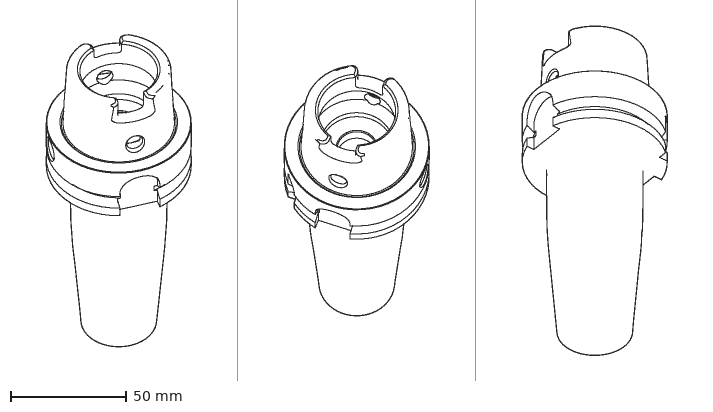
import cadquery as cq
import math

TOTAL_LENGTH = 151.9
TAPER_LENGTH = 31.9
COLLAR_LENGTH = 26.0
COLLAR_FACE_Z = TOTAL_LENGTH - TAPER_LENGTH
COLLAR_BOTTOM_Z = COLLAR_FACE_Z - COLLAR_LENGTH

SHANK_RADIUS = 21.0
SHANK_FILLET = 5.0
NOSE_CONE_HEIGHT = 45.7
NOSE_BLEND_HEIGHT = 23.4
NOSE_CONE_ANGLE = math.radians(4.5)
NOSE_EDGE_FILLET = 0.9

COLLAR_DIAMETER = 63.0
COLLAR_RADIUS = COLLAR_DIAMETER / 2
COLLAR_EDGE_CHAMFER = 0.3
GROOVE_CENTER_Z = COLLAR_FACE_Z - 18.0
GROOVE_WIDTH = 7.0
GROOVE_ROOT_RADIUS = 27.5
GROOVE_FLANK_ANGLE = math.radians(30)

TAPER_TOP_DIAMETER = 45.4
TAPER_TOP_RADIUS = TAPER_TOP_DIAMETER / 2
TAPER_SLOPE = 0.05
TAIL_EDGE = 1.0
LAND_HEIGHT = 2.3
RELIEF_RADIUS = 25.5
RELIEF_DEPTH = 0.6

MOUTH_RADIUS = 16.9
MOUTH_DEPTH = 12.8
CAVITY_RADIUS = 20.0
CAVITY_SHOULDER_ANGLE = math.radians(60)
CAVITY_WALL_END_DEPTH = 25.7
CAVITY_FLOOR_RADIUS = 15.8
CAVITY_DEPTH = 33.4
TUBE_SEAT_RADIUS = 8.5
TUBE_SEAT_CHAMFER = 0.5
TUBE_SEAT_DEPTH = 6.1
CENTER_HOLE_RADIUS = 2.1
CENTER_HOLE_DEPTH = 4.5

NOTCH_HALF_WIDTH = 6.2
NOTCH_CORNER_RADIUS = 3.0
NOTCH_FLOOR_FILLET = 1.7
NOTCH_DEPTH_LEFT = 6.2
NOTCH_DEPTH_RIGHT = 10.0

CROSS_HOLE_RADIUS = 3.6
CROSS_HOLE_CHAMFER = 1.0
CROSS_HOLE_Z = TOTAL_LENGTH - 23.0
CHIP_HOLE_RADIUS = 4.7
CHIP_HOLE_CHAMFER = 0.9
CHIP_HOLE_DEPTH = 4.5
CHIP_HOLE_Z = COLLAR_FACE_Z - 7.0
CHIP_CENTER_RADIUS = 0.6

KEYWAY_ARC_Z = COLLAR_FACE_Z - 12.9
NARROW_KEYWAY_HALF_WIDTH = 8.0
WIDE_KEYWAY_HALF_WIDTH = 9.1
KEYWAY_FLOOR_X = 26.5
INDEX_FLOOR_X = 20.0
INDEX_WALL_Y = 20.0

REACH = 45.5


def taper_radius(z):
    """Outer radius of the taper at height z."""
    return TAPER_TOP_RADIUS + TAPER_SLOPE * (TOTAL_LENGTH - z)


def make_body():
    """Revolve the outer profile from the nose to the tail."""
    blend_top_z = NOSE_CONE_HEIGHT + NOSE_BLEND_HEIGHT
    cone_top_radius = SHANK_RADIUS - NOSE_BLEND_HEIGHT * math.tan(NOSE_CONE_ANGLE / 2)
    nose_radius = cone_top_radius - NOSE_CONE_HEIGHT * math.tan(NOSE_CONE_ANGLE)
    blend_radius = NOSE_BLEND_HEIGHT / math.sin(NOSE_CONE_ANGLE)
    blend_mid = (
        SHANK_RADIUS - blend_radius * (1 - math.cos(NOSE_CONE_ANGLE / 2)),
        blend_top_z - blend_radius * math.sin(NOSE_CONE_ANGLE / 2),
    )
    fillet_sag = SHANK_FILLET * (1 - math.sqrt(0.5))
    groove_half = GROOVE_WIDTH / 2
    root_half = groove_half - (COLLAR_RADIUS - GROOVE_ROOT_RADIUS) * math.tan(GROOVE_FLANK_ANGLE)
    land_z = COLLAR_FACE_Z + LAND_HEIGHT
    land_radius = taper_radius(land_z)
    edge_z = TOTAL_LENGTH - TAIL_EDGE
    edge_sag = TAIL_EDGE * (1 - math.sqrt(0.5))
    profile = (
        cq.Workplane("XZ")
        .lineTo(nose_radius, 0)
        .lineTo(cone_top_radius, NOSE_CONE_HEIGHT)
        .threePointArc(blend_mid, (SHANK_RADIUS, blend_top_z))
        .lineTo(SHANK_RADIUS, COLLAR_BOTTOM_Z - SHANK_FILLET)
        .threePointArc(
            (SHANK_RADIUS + fillet_sag, COLLAR_BOTTOM_Z - fillet_sag),
            (SHANK_RADIUS + SHANK_FILLET, COLLAR_BOTTOM_Z),
        )
        .lineTo(COLLAR_RADIUS, COLLAR_BOTTOM_Z)
        .lineTo(COLLAR_RADIUS, GROOVE_CENTER_Z - groove_half)
        .lineTo(GROOVE_ROOT_RADIUS, GROOVE_CENTER_Z - root_half)
        .lineTo(GROOVE_ROOT_RADIUS, GROOVE_CENTER_Z + root_half)
        .lineTo(COLLAR_RADIUS, GROOVE_CENTER_Z + groove_half)
        .lineTo(COLLAR_RADIUS, COLLAR_FACE_Z - COLLAR_EDGE_CHAMFER)
        .lineTo(COLLAR_RADIUS - COLLAR_EDGE_CHAMFER, COLLAR_FACE_Z)
        .lineTo(RELIEF_RADIUS, COLLAR_FACE_Z)
        .lineTo(RELIEF_RADIUS - RELIEF_DEPTH, COLLAR_FACE_Z - RELIEF_DEPTH)
        .lineTo(land_radius, COLLAR_FACE_Z - RELIEF_DEPTH)
        .lineTo(land_radius, land_z)
        .lineTo(taper_radius(edge_z), edge_z)
        .threePointArc(
            (taper_radius(edge_z) - edge_sag, TOTAL_LENGTH - edge_sag),
            (taper_radius(edge_z) - TAIL_EDGE, TOTAL_LENGTH),
        )
        .lineTo(0, TOTAL_LENGTH)
        .close()
    )
    body = profile.revolve(360, (0, 0, 0), (0, 1, 0))
    return body.faces("<Z").edges().fillet(NOSE_EDGE_FILLET)


def make_cavity():
    """Revolve the stepped hollow that opens at the tail."""
    shoulder_z = TOTAL_LENGTH - MOUTH_DEPTH
    shoulder_drop = (CAVITY_RADIUS - MOUTH_RADIUS) / math.tan(CAVITY_SHOULDER_ANGLE)
    wall_end_z = TOTAL_LENGTH - CAVITY_WALL_END_DEPTH
    funnel_drop = CAVITY_RADIUS - CAVITY_FLOOR_RADIUS
    floor_z = TOTAL_LENGTH - CAVITY_DEPTH
    seat_z = floor_z - TUBE_SEAT_DEPTH
    hole_z = seat_z - CENTER_HOLE_DEPTH
    points = [
        (0, TOTAL_LENGTH),
        (MOUTH_RADIUS + TAIL_EDGE, TOTAL_LENGTH),
        (MOUTH_RADIUS, TOTAL_LENGTH - TAIL_EDGE),
        (MOUTH_RADIUS, shoulder_z),
        (CAVITY_RADIUS, shoulder_z - shoulder_drop),
        (CAVITY_RADIUS, wall_end_z),
        (CAVITY_FLOOR_RADIUS, wall_end_z - funnel_drop),
        (CAVITY_FLOOR_RADIUS, floor_z),
        (TUBE_SEAT_RADIUS + TUBE_SEAT_CHAMFER, floor_z),
        (TUBE_SEAT_RADIUS, floor_z - TUBE_SEAT_CHAMFER),
        (TUBE_SEAT_RADIUS, seat_z),
        (CENTER_HOLE_RADIUS, seat_z),
        (CENTER_HOLE_RADIUS, hole_z),
        (0, hole_z - CENTER_HOLE_RADIUS),
    ]
    return cq.Workplane("XZ").polyline(points).close().revolve(360, (0, 0, 0), (0, 1, 0))


def make_drive_notch(side, depth):
    """Slot towards side * X whose flared mouth rounds the outer corners of the drive lugs."""
    floor_z = TOTAL_LENGTH - depth
    outer = taper_radius(floor_z)
    center_y = NOTCH_HALF_WIDTH + NOTCH_CORNER_RADIUS
    center_x = math.sqrt((outer - NOTCH_CORNER_RADIUS) ** 2 - center_y**2)
    end_angle = math.atan2(center_y, center_x)
    mid_angle = (end_angle - math.pi / 2) / 2

    def corner_point(angle, mirror):
        x = center_x + NOTCH_CORNER_RADIUS * math.cos(angle)
        y = center_y + NOTCH_CORNER_RADIUS * math.sin(angle)
        return (side * x, mirror * y)

    far_x = side * REACH
    far_y = REACH * math.tan(end_angle)
    outline = (
        cq.Workplane("XY", origin=(0, 0, floor_z))
        .moveTo(0, -NOTCH_HALF_WIDTH)
        .lineTo(side * center_x, -NOTCH_HALF_WIDTH)
        .threePointArc(corner_point(mid_angle, -1), corner_point(end_angle, -1))
        .lineTo(far_x, -far_y)
        .lineTo(far_x, far_y)
        .lineTo(*corner_point(end_angle, 1))
        .threePointArc(corner_point(mid_angle, 1), (side * center_x, NOTCH_HALF_WIDTH))
        .lineTo(0, NOTCH_HALF_WIDTH)
        .close()
    )
    slot = outline.extrude(REACH).faces("<Z").edges().fillet(NOTCH_FLOOR_FILLET)
    bevel = outline.toPending().extrude(2 * TAIL_EDGE, taper=-45)
    return slot.union(bevel.translate((0, 0, depth - TAIL_EDGE)))


def make_keyway(side, half_width, floor_x, center_y=0.0):
    """Round-topped slot in the collar, open downwards and towards side * X."""
    height = KEYWAY_ARC_Z - COLLAR_BOTTOM_Z + SHANK_FILLET
    return (
        cq.Workplane("YZ", origin=(side * floor_x, center_y, KEYWAY_ARC_Z))
        .moveTo(-half_width, 0)
        .threePointArc((0, half_width), (half_width, 0))
        .lineTo(half_width, -height)
        .lineTo(-half_width, -height)
        .close()
        .extrude(side * REACH)
    )


def make_countersunk_cutter(radius, chamfer, start, surface):
    """Cutter along +Y from start to just past the surface, widened at 45 degrees across it."""
    half_section = [
        (0, start),
        (radius, start),
        (radius, surface - chamfer),
        (radius + 2 * chamfer, surface + chamfer),
        (0, surface + chamfer),
    ]
    return cq.Workplane("XY").polyline(half_section).close().revolve(360, (0, 0, 0), (0, 1, 0))


def make_cross_hole():
    """Hole along X through both taper walls, countersunk outside."""
    surface = taper_radius(CROSS_HOLE_Z)
    half = make_countersunk_cutter(CROSS_HOLE_RADIUS, CROSS_HOLE_CHAMFER, 0, surface)
    hole = half.union(half.mirror("XZ"))
    return hole.rotate((0, 0, 0), (0, 0, 1), 90).translate((0, 0, CROSS_HOLE_Z))


def make_chip_hole():
    """Flat-bottomed hole in the collar on the -Y side with a small conical center mark."""
    floor = COLLAR_RADIUS - CHIP_HOLE_DEPTH
    hole = make_countersunk_cutter(CHIP_HOLE_RADIUS, CHIP_HOLE_CHAMFER, floor, COLLAR_RADIUS)
    mark_section = [(0, floor - CHIP_CENTER_RADIUS), (CHIP_CENTER_RADIUS, floor), (0, floor)]
    mark = cq.Workplane("XY").polyline(mark_section).close().revolve(360, (0, 0, 0), (0, 1, 0))
    return hole.union(mark).mirror("XZ").translate((0, 0, CHIP_HOLE_Z))


index_center_y = INDEX_WALL_Y + NARROW_KEYWAY_HALF_WIDTH
cutters = [
    make_cavity(),
    make_drive_notch(-1, NOTCH_DEPTH_LEFT),
    make_drive_notch(1, NOTCH_DEPTH_RIGHT),
    make_keyway(-1, NARROW_KEYWAY_HALF_WIDTH, KEYWAY_FLOOR_X),
    make_keyway(1, WIDE_KEYWAY_HALF_WIDTH, KEYWAY_FLOOR_X),
    make_keyway(-1, NARROW_KEYWAY_HALF_WIDTH, INDEX_FLOOR_X, index_center_y),
    make_cross_hole(),
    make_chip_hole(),
]

result = make_body()
for cutter in cutters:
    result = result.cut(cutter)